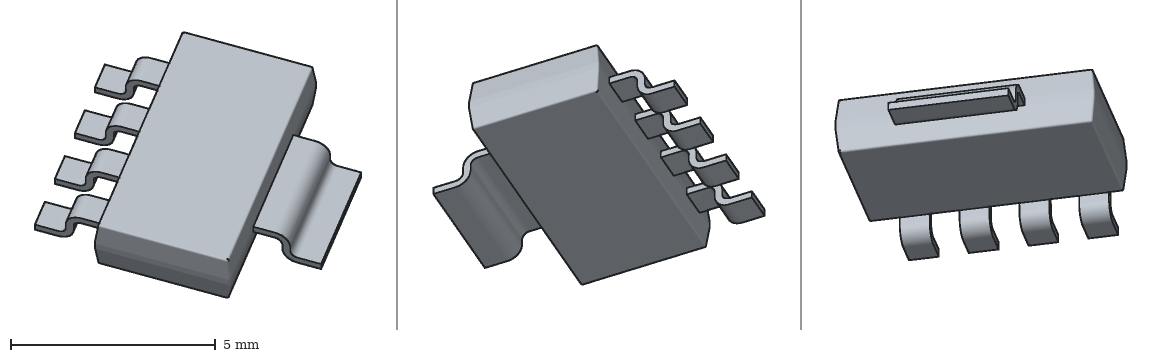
import cadquery as cq
import math

span = 7.0
overall_height = 1.6
standoff = 0.1

housing_width = 3.5
housing_length = 6.5
edge_round = 0.05
wall_inset = 0.07
housing_height = overall_height - standoff
housing_mid_z = standoff + housing_height / 2

sheet = 0.2
foot_length = 0.6
inner_bend = 0.195
outer_bend = inner_bend + sheet

lead_count = 4
lead_pitch = 1.5
lead_width = 0.75
tab_width = 3.0


def rounded_rectangle(width, length):
    """Rectangle centred on the Z axis, with its corners rounded."""
    return cq.Sketch().rect(width, length).vertices().fillet(edge_round)


def make_housing():
    """Block with a straight parting band, tapered above and below, with every outer corner rounded."""
    wall_height = (housing_height - sheet) / 2
    band_outline = rounded_rectangle(housing_width, housing_length)
    end_outline = rounded_rectangle(housing_width - 2 * wall_inset, housing_length - 2 * wall_inset)

    band = cq.Workplane("XY").placeSketch(band_outline).extrude(sheet / 2, both=True)
    upper = (
        cq.Workplane("XY", origin=(0, 0, sheet / 2))
        .placeSketch(band_outline, end_outline.moved(cq.Location((0, 0, wall_height))))
        .loft()
    )
    lower = upper.mirror("XY")
    block = band.union(upper).union(lower)
    block = block.faces("<Z or >Z").edges().fillet(edge_round)
    return block.translate((0, 0, housing_mid_z)).solids()


def gull_wing(width):
    """Gull-wing strip on the -X side, centred on Y = 0, from its foot tip to the housing wall."""
    tip_x = -span / 2
    wall_x = -housing_width / 2
    shoulder_top = housing_mid_z + sheet / 2
    shoulder_bottom = shoulder_top - sheet
    foot_end_x = tip_x + foot_length
    leg_inner_x = foot_end_x + outer_bend
    leg_outer_x = leg_inner_x - sheet
    shoulder_start_x = leg_outer_x + outer_bend
    leg_bottom_z = outer_bend
    leg_top_z = shoulder_top - outer_bend

    inner_mid = inner_bend * math.sqrt(0.5)
    outer_mid = outer_bend * math.sqrt(0.5)

    profile = (
        cq.Workplane("XZ")
        .moveTo(tip_x, 0)
        .lineTo(foot_end_x, 0)
        .threePointArc((foot_end_x + outer_mid, leg_bottom_z - outer_mid), (leg_inner_x, leg_bottom_z))
        .lineTo(leg_inner_x, leg_top_z)
        .threePointArc((shoulder_start_x - inner_mid, leg_top_z + inner_mid),
                       (shoulder_start_x, shoulder_bottom))
        .lineTo(wall_x, shoulder_bottom)
        .lineTo(wall_x, shoulder_top)
        .lineTo(shoulder_start_x, shoulder_top)
        .threePointArc((shoulder_start_x - outer_mid, leg_top_z + outer_mid), (leg_outer_x, leg_top_z))
        .lineTo(leg_outer_x, leg_bottom_z)
        .threePointArc((foot_end_x + inner_mid, leg_bottom_z - inner_mid), (foot_end_x, sheet))
        .lineTo(tip_x, sheet)
        .close()
    )
    return profile.extrude(width / 2, both=True).solids()


def make_leads():
    """Row of leads, evenly spaced along Y about the middle of the housing."""
    leads = []
    for index in range(lead_count):
        lead_y = (index - (lead_count - 1) / 2) * lead_pitch
        leads.append(gull_wing(lead_width).translate((0, lead_y, 0)).solids().val())
    return leads


def make_tab():
    """Wide tab with the lead profile, turned to face +X."""
    return gull_wing(tab_width).mirror("YZ").solids()


housing = make_housing()
leads = make_leads()
tab = make_tab()

result = cq.Compound.makeCompound([housing.val(), *leads, tab.val()])